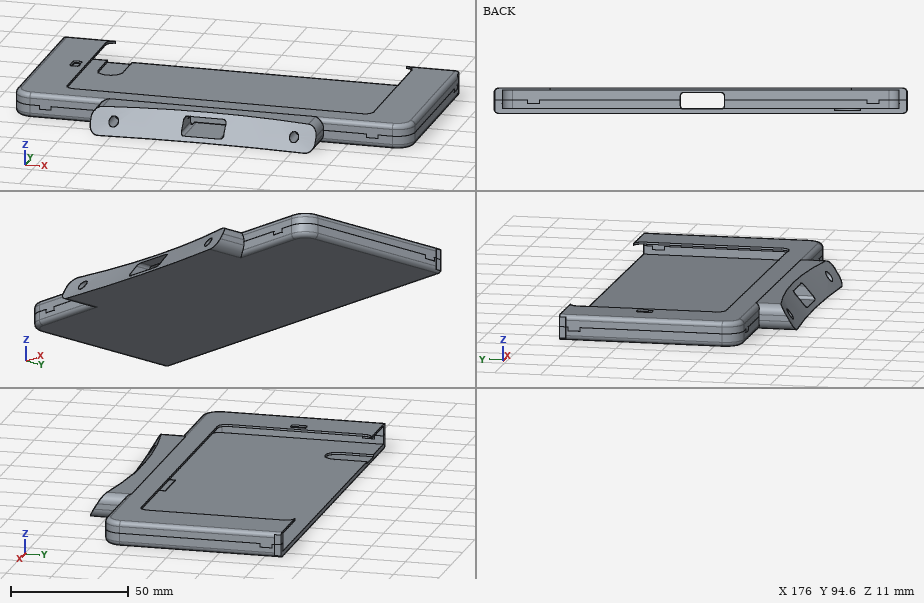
import cadquery as cq


case_width = 176.0
case_depth = 78.8
case_height = 11.0
corner_radius = 8.0
edge_radius = 2.1
wall = 3.5
floor_thickness = 2.1
lid_thickness = 0.9
split_height = 5.8

rebate_inset = 0.44
rebate_length = 2.8

tab_length = 5.1
tab_drop = 1.5
left_front_tab_x = -73.4
right_front_tab_x = 71.3
side_tab_y = -6.5

window_width = 135.5
window_front_y = -67.5
window_back_y = 0.02
window_corner_radius = 3.9
indicator_x = -72.3
indicator_y = -34.0
indicator_width = 2.8
indicator_length = 5.8
indicator_corner_radius = 0.7
indicator_chamfer = 0.5
rim_angle = 45.0

thumb_x = -62.5
thumb_radius = 5.5
thumb_reach = 19.7
thumb_depth = 0.9

tongue_width = 99.5
tongue_edge_radius = 4.2
tongue_root_y = edge_radius - case_depth
top_arc_middle_y = -83.5
top_arc_sag = 5.0
bottom_arc_middle_y = -92.8
bottom_arc_sag = 2.1
tongue_block_front_y = -105.6

port_x = -0.7
port_width = 18.7
port_bottom = 2.0
port_height = 7.0
port_corner_radius = 1.4
screw_hole_diameter = 4.0
screw_hole_spacing = 79.7
screw_hole_z = 5.5
screw_hole_end_y = -81.0


def box_between(x_range, y_range, z_range):
    """Box spanning the given low and high limits on each axis."""
    lows, highs = zip(x_range, y_range, z_range)
    sizes = [high - low for low, high in zip(lows, highs)]
    return cq.Workplane("XY").box(*sizes, centered=False).translate(lows)


def make_case_block():
    """Solid outer form of the closed case, without the tongue."""
    half_width = case_width / 2
    block = box_between((-half_width, half_width), (-case_depth, 0), (0, case_height))
    block = block.edges("|Z and <Y").fillet(corner_radius)
    block = block.faces("<Z or >Z").edges("not >Y").fillet(edge_radius)
    for side in (-1, 1):
        inner_x = side * (half_width - rebate_inset)
        outer_x = side * (half_width + rebate_inset)
        x_range = sorted((inner_x, outer_x))
        block = block.cut(box_between(x_range, (-rebate_length, wall), (0, case_height)))
    return block


def make_cavity():
    """Inner space, open at the back."""
    half_width = case_width / 2 - wall
    z_range = (floor_thickness, case_height - lid_thickness)
    cavity = box_between((-half_width, half_width), (wall - case_depth, wall), z_range)
    return cavity.edges("|Z and <Y").fillet(corner_radius - wall)


def make_lid_zone():
    """Space given to the lid: all above the split, plus the tabs below it."""
    half_width = case_width / 2
    zone = box_between((-half_width, half_width), (-case_depth, 0), (split_height, case_height))
    tab_z = (split_height - tab_drop, case_height)
    for tab_x in (left_front_tab_x, right_front_tab_x):
        tab_span = (tab_x - tab_length / 2, tab_x + tab_length / 2)
        zone = zone.union(box_between(tab_span, (-case_depth, wall - case_depth), tab_z))
    tab_span = (side_tab_y - tab_length / 2, side_tab_y + tab_length / 2)
    for x_range in ((-half_width, wall - half_width), (half_width - wall, half_width)):
        zone = zone.union(box_between(x_range, tab_span, tab_z))
    return zone


def make_tongue_envelope():
    """Everything behind the sloping concave front face of the tongue."""
    half_width = tongue_width / 2

    def behind_arc(plane, middle_y, sag):
        return (
            plane.moveTo(-half_width, 0)
            .lineTo(-half_width, middle_y - sag)
            .threePointArc((0, middle_y), (half_width, middle_y - sag))
            .lineTo(half_width, 0)
            .close()
        )

    bottom = behind_arc(cq.Workplane("XY"), bottom_arc_middle_y, bottom_arc_sag)
    both = behind_arc(bottom.workplane(offset=case_height), top_arc_middle_y, top_arc_sag)
    return both.loft(ruled=True)


def make_port():
    """Rounded rectangular passage along Y into the cavity."""
    port = box_between(
        (port_x - port_width / 2, port_x + port_width / 2),
        (tongue_block_front_y, -case_depth + 2 * wall),
        (port_bottom, port_bottom + port_height),
    )
    return port.edges("|Y").fillet(port_corner_radius)


def make_screw_holes():
    """Pair of blind holes entering the front face of the tongue along Y."""
    return (
        cq.Workplane("XZ", origin=(0, screw_hole_end_y, screw_hole_z))
        .rarray(screw_hole_spacing, 1.8, 2, 1)
        .circle(screw_hole_diameter / 2)
        .extrude(screw_hole_end_y - tongue_block_front_y)
    )


def make_tongue(case_block):
    """Tongue that butts against the rounded front of the case."""
    half_width = tongue_width / 2
    y_range = (tongue_block_front_y, tongue_root_y)
    tongue = box_between((-half_width, half_width), y_range, (0, case_height))
    tongue = tongue.edges("|Y").fillet(tongue_edge_radius)
    tongue = tongue.intersect(make_tongue_envelope())
    return tongue.cut(case_block).cut(make_screw_holes())


def make_thumb_recess():
    """Round-ended recess in the floor, open at the back edge."""
    centre_y = thumb_radius - thumb_reach
    bottom = floor_thickness - thumb_depth
    return (
        cq.Workplane("XY", origin=(thumb_x, 0, bottom))
        .moveTo(-thumb_radius, 0)
        .lineTo(-thumb_radius, centre_y)
        .threePointArc((0, -thumb_reach), (thumb_radius, centre_y))
        .lineTo(thumb_radius, 0)
        .close()
        .extrude(thumb_depth)
    )


def make_window():
    """Rounded opening through the lid that just breaks out at the back edge."""
    half_width = window_width / 2
    window = box_between(
        (-half_width, half_width),
        (window_front_y, window_back_y),
        (split_height, case_height),
    )
    return window.edges("|Z").fillet(window_corner_radius)


def make_indicator_slot():
    """Small rounded slot with a chamfered rim at the lid's top face."""
    slot = box_between(
        (indicator_x - indicator_width / 2, indicator_x + indicator_width / 2),
        (indicator_y - indicator_length / 2, indicator_y + indicator_length / 2),
        (split_height, case_height),
    )
    slot = slot.edges("|Z").fillet(indicator_corner_radius)
    rim = (
        slot.faces(">Z")
        .wires()
        .toPending()
        .offset2D(indicator_chamfer)
        .extrude(-indicator_chamfer, combine=False, taper=rim_angle)
    )
    return slot.union(rim)


def make_base(shell, case_block, lid_zone):
    """Lower half of the shell, joined to the full-height tongue."""
    base = shell.cut(lid_zone).union(make_tongue(case_block))
    return base.cut(make_port()).cut(make_thumb_recess())


def make_lid(shell, lid_zone):
    """Upper half of the shell with its tabs and openings."""
    lid = shell.intersect(lid_zone)
    return lid.cut(make_port()).cut(make_window()).cut(make_indicator_slot())


case_block = make_case_block()
shell = case_block.cut(make_cavity())
lid_zone = make_lid_zone()
base = make_base(shell, case_block, lid_zone)
lid = make_lid(shell, lid_zone)

result = cq.Compound.makeCompound([base.solids().val(), lid.solids().val()])